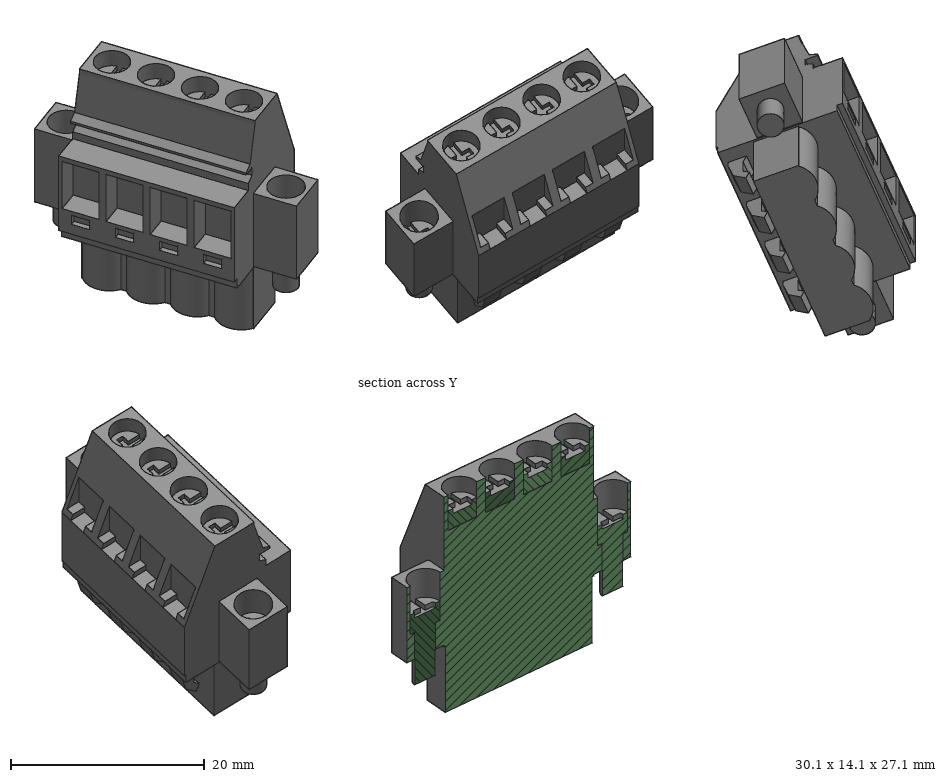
import cadquery as cq


POLES = 4
PITCH = 5.05
POLE_XS = [(i - (POLES - 1) / 2) * PITCH for i in range(POLES)]

TOTAL_LENGTH = 30.12
HOUSING_LENGTH = 20.18
FRONT_Y = -7.0
BACK_Y = 7.1
TOP_Z = 18.8
TOP_BACK_Y = 3.07
SLOPE_FOOT_Z = 8.83
FOOT_FRONT_Y = -6.4
FOOT_BACK_Y = 6.93
FOOT_STEP_Z = 1.17
BLOCK_TOP_Z = 10.8
SHOULDER_Y = -3.7
SHOULDER_TOP_Z = 11.72
GROOVE_FLOOR_Y = -2.83
GROOVE_BOTTOM_Z = 12.2
GROOVE_TOP_Z = 13.15
LIP_TIP_Y = -4.22
LIP_TIP_TOP_Z = 13.43
LIP_ROOT_Y = -3.28
LIP_ROOT_Z = 13.95
TOP_FRONT_Y = -2.15
TOP_BAND_HEIGHT = 0.5

PLUG_LENGTH = 19.75
PLUG_DEPTH = 8.3
PLUG_BACK_Y = 3.0
PLUG_WALL_Y = -2.02
LOBE_WIDTH = 4.4
LOBE_RISE = 1.02

ENTRY_WIDTH = 4.22
ENTRY_BOTTOM_Z = 4.13
ENTRY_TOP_Z = 10.25
ENTRY_DEPTH = 2.6
WINDOW_WIDTH = 2.08
WINDOW_BOTTOM_Z = 2.45
WINDOW_TOP_Z = 3.6
WINDOW_DEPTH = 0.6

NOTCH_WALL_Y = 5.25
WIDE_NOTCH_WIDTH = 4.05
WIDE_NOTCH_EDGE_Y = 6.8
LATCH_WIDTH = 2.08

LATCH_BACK_Y = 6.33
LATCH_ROOT_FRONT_Y = 4.28
LATCH_STEM_FRONT_Y = 4.67
LATCH_BACK_BEND_Z = -0.87
LATCH_FRONT_BEND_Z = -0.95
HOOK_BACK = (5.75, -3.2)
HOOK_BOTTOM = (4.37, -4.6)
HOOK_TIP = (3.98, -3.65)
HOOK_THROAT_Z = -2.95

SCREW_DIAMETER = 3.85
SCREW_Y = 0.42
SCREW_RECESS = 1.95
SCREW_LENGTH = 2.4
SCREW_LONG_SLOT = 0.7
SCREW_SHORT_SLOT = 0.78
SCREW_SHORT_SLOT_LENGTH = 2.5
SLOT_DEPTH = 0.6

FLANGE_DEPTH = 5.05
FLANGE_BOTTOM_Z = 0.18
FLANGE_TOP_Z = 9.65
FLANGE_SCREW_X = 12.62
FLANGE_HEAD_DIAMETER = 3.98
FLANGE_RECESS = 3.6
FLANGE_HEAD_LENGTH = 2.4
SHANK_DIAMETER = 2.77
SHANK_BOTTOM_Z = -3.05
FLANGE_LONG_SLOT = 0.6
FLANGE_SHORT_SLOT = 0.8
FLANGE_SLOT_CORNER = 0.2


def block(x_range, y_range, z_range):
    """Box between the given limits on each axis."""
    (x0, x1), (y0, y1), (z0, z1) = x_range, y_range, z_range
    return cq.Workplane("XY").box(x1 - x0, y1 - y0, z1 - z0, centered=False).translate((x0, y0, z0))


def centred(middle, width):
    """Limits of a span of the given width around its middle."""
    return (middle - width / 2, middle + width / 2)


def cylinder(x, y, bottom_z, top_z, diameter):
    """Upright cylinder."""
    return cq.Workplane("XY", origin=(x, y, bottom_z)).circle(diameter / 2).extrude(top_z - bottom_z)


def prism_along_x(profile, x_range):
    """Straight prism along X from a list of (y, z) corners."""
    x0, x1 = x_range
    return cq.Workplane("YZ", origin=(x0, 0, 0)).polyline(profile).close().extrude(x1 - x0)


def slope_z(y):
    """Height of the back slope at a given y."""
    return SLOPE_FOOT_Z + (TOP_Z - SLOPE_FOOT_Z) * (BACK_Y - y) / (BACK_Y - TOP_BACK_Y)


def housing_shell():
    """Main body: sloped back, and a lip with a groove under it above the front block."""
    profile = [
        (FOOT_FRONT_Y, 0),
        (FOOT_FRONT_Y, FOOT_STEP_Z),
        (FRONT_Y, FOOT_STEP_Z),
        (FRONT_Y, BLOCK_TOP_Z),
        (SHOULDER_Y, BLOCK_TOP_Z),
        (SHOULDER_Y, SHOULDER_TOP_Z),
        (GROOVE_FLOOR_Y, GROOVE_BOTTOM_Z),
        (GROOVE_FLOOR_Y, GROOVE_TOP_Z),
        (LIP_TIP_Y, GROOVE_TOP_Z),
        (LIP_TIP_Y, LIP_TIP_TOP_Z),
        (LIP_ROOT_Y, LIP_ROOT_Z),
        (TOP_FRONT_Y, TOP_Z - TOP_BAND_HEIGHT),
        (TOP_FRONT_Y, TOP_Z),
        (TOP_BACK_Y, TOP_Z),
        (BACK_Y, SLOPE_FOOT_Z),
        (BACK_Y, FOOT_STEP_Z),
        (FOOT_BACK_Y, FOOT_STEP_Z),
        (FOOT_BACK_Y, 0),
    ]
    return prism_along_x(profile, centred(0, HOUSING_LENGTH))


def plug():
    """Plug with a flat back and one shallow round lobe per pole on its front."""
    half_length = PLUG_LENGTH / 2
    outline = cq.Workplane("XY").moveTo(-half_length, PLUG_BACK_Y).lineTo(-half_length, PLUG_WALL_Y)
    for x in POLE_XS:
        lobe_start, lobe_end = centred(x, LOBE_WIDTH)
        outline = outline.lineTo(lobe_start, PLUG_WALL_Y)
        outline = outline.threePointArc((x, PLUG_WALL_Y - LOBE_RISE), (lobe_end, PLUG_WALL_Y))
    outline = outline.lineTo(half_length, PLUG_WALL_Y).lineTo(half_length, PLUG_BACK_Y).close()
    return outline.extrude(-PLUG_DEPTH)


def latch(x):
    """Hooked latch hanging from the underside behind the plug."""
    profile = [
        (LATCH_BACK_Y, 0),
        (LATCH_BACK_Y, LATCH_BACK_BEND_Z),
        HOOK_BACK,
        HOOK_BOTTOM,
        HOOK_TIP,
        (LATCH_STEM_FRONT_Y, HOOK_THROAT_Z),
        (LATCH_STEM_FRONT_Y, LATCH_FRONT_BEND_Z),
        (LATCH_ROOT_FRONT_Y, 0),
    ]
    return prism_along_x(profile, centred(x, LATCH_WIDTH))


def flange(side):
    """Flange block at one end of the housing."""
    x_range = sorted((side * HOUSING_LENGTH / 2, side * TOTAL_LENGTH / 2))
    return block(x_range, centred(0, FLANGE_DEPTH), (FLANGE_BOTTOM_Z, FLANGE_TOP_Z))


def pole_cutouts(x):
    """Everything cut from the housing at one pole."""
    entry = block(
        centred(x, ENTRY_WIDTH), (FRONT_Y, FRONT_Y + ENTRY_DEPTH), (ENTRY_BOTTOM_Z, ENTRY_TOP_Z)
    )
    window = block(
        centred(x, WINDOW_WIDTH), (FRONT_Y, FRONT_Y + WINDOW_DEPTH), (WINDOW_BOTTOM_Z, WINDOW_TOP_Z)
    )
    wide_notch = block(
        centred(x, WIDE_NOTCH_WIDTH), (NOTCH_WALL_Y, BACK_Y), (slope_z(WIDE_NOTCH_EDGE_Y), TOP_Z)
    )
    narrow_notch = block(centred(x, LATCH_WIDTH), (NOTCH_WALL_Y, BACK_Y), (SLOPE_FOOT_Z, TOP_Z))
    screw_hole_bottom = TOP_Z - SCREW_RECESS - SCREW_LENGTH
    screw_hole = cylinder(x, SCREW_Y, screw_hole_bottom, TOP_Z, SCREW_DIAMETER)
    return [entry, window, wide_notch, narrow_notch, screw_hole]


def flange_bore(side):
    """Stepped hole that takes a flange screw."""
    x = side * FLANGE_SCREW_X
    head_seat = FLANGE_TOP_Z - FLANGE_RECESS - FLANGE_HEAD_LENGTH
    head_bore = cylinder(x, 0, head_seat, FLANGE_TOP_Z, FLANGE_HEAD_DIAMETER)
    return head_bore.union(cylinder(x, 0, FLANGE_BOTTOM_Z, head_seat, SHANK_DIAMETER))


def make_housing():
    body = housing_shell().union(plug())
    for side in (-1, 1):
        body = body.union(flange(side)).cut(flange_bore(side))
    for x in POLE_XS:
        body = body.union(latch(x))
        for cutout in pole_cutouts(x):
            body = body.cut(cutout)
    return body


def make_terminal_screw(x):
    """Cylindrical screw with a cross slot whose long arm runs across the whole head."""
    top_z = TOP_Z - SCREW_RECESS
    slot_z = (top_z - SLOT_DEPTH, top_z)
    screw = cylinder(x, SCREW_Y, top_z - SCREW_LENGTH, top_z, SCREW_DIAMETER)
    long_slot = block(centred(x, SCREW_LONG_SLOT), centred(SCREW_Y, SCREW_DIAMETER), slot_z)
    short_slot = block(
        centred(x, SCREW_SHORT_SLOT_LENGTH), centred(SCREW_Y, SCREW_SHORT_SLOT), slot_z
    )
    return screw.cut(long_slot).cut(short_slot)


def make_flange_screw(side):
    """Headed screw with a shank that sticks out below the flange."""
    x = side * FLANGE_SCREW_X
    top_z = FLANGE_TOP_Z - FLANGE_RECESS
    seat_z = top_z - FLANGE_HEAD_LENGTH
    slot_z = (top_z - SLOT_DEPTH, top_z)
    head = cylinder(x, 0, seat_z, top_z, FLANGE_HEAD_DIAMETER)
    screw = head.union(cylinder(x, 0, SHANK_BOTTOM_Z, seat_z, SHANK_DIAMETER))
    long_slot = block(centred(x, FLANGE_LONG_SLOT), centred(0, FLANGE_HEAD_DIAMETER), slot_z)
    short_slot = block(centred(x, SHANK_DIAMETER), centred(0, FLANGE_SHORT_SLOT), slot_z)
    short_slot = short_slot.edges("|Z").fillet(FLANGE_SLOT_CORNER)
    return screw.cut(long_slot).cut(short_slot)


housing = make_housing()
terminal_screws = [make_terminal_screw(x) for x in POLE_XS]
flange_screws = [make_flange_screw(side) for side in (-1, 1)]

bodies = [housing, *terminal_screws, *flange_screws]
result = cq.Compound.makeCompound([body.solids().val() for body in bodies])